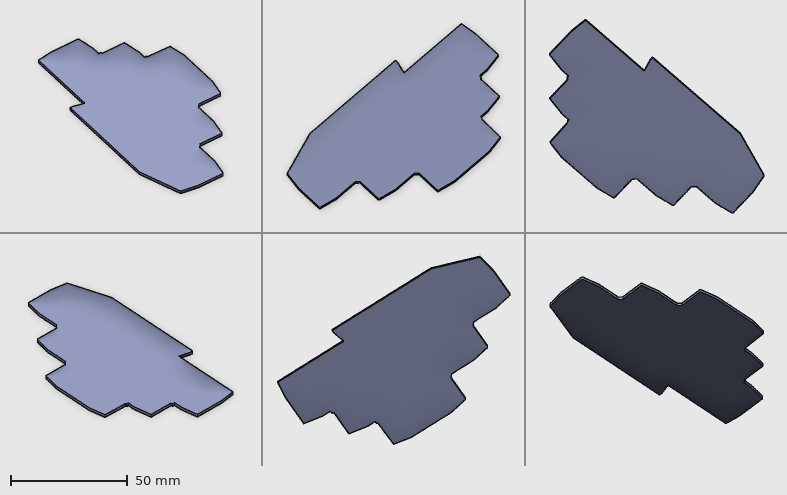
import cadquery as cq

length = 106.2
width = 59.4
thickness = 1.5

tier_pitch = 14.5
low_top = width - 2 * tier_pitch
mid_top = width - tier_pitch
shoulder_drop = 1.6
shoulder_run = 8.5
top_left_run = 8.0
mid_left = 13.5
mid_right = 85.1
top_left = 26.9
top_right = 64.0
corner_radius = 0.5

relief_height = 1.4
right_relief_run = 1.5
low_ledge_width = 0.8
low_ledge_height = 1.1
top_wall_lean = 0.3
top_ledge_width = 0.5
top_ledge_height = 0.8

foot_level = 6.8
left_taper = 1.1
left_taper_start = 14.4
right_taper = 1.4
right_taper_start = 15.6
right_taper_end = 7.1
tongue_root = 34.9
tongue_left = 33.7
tongue_lip_height = 1.5
tongue_neck = 6.2
ramp_start = 84.5

low_relief = low_top + relief_height
mid_relief = mid_top + relief_height
top_wall_foot = top_left - top_wall_lean

left_side = [
    (tongue_left, 0),
    (tongue_left, tongue_lip_height),
    (tongue_root, tongue_neck),
    (tongue_root, foot_level),
    (left_taper, foot_level),
    (0, left_taper_start),
    (0, low_top - shoulder_drop),
    (shoulder_run, low_top),
    (mid_left - low_ledge_width, low_top),
    (mid_left - low_ledge_width, low_top + low_ledge_height),
    (mid_left, low_relief),
    (mid_left, mid_top - shoulder_drop),
    (mid_left + shoulder_run, mid_top),
    (top_wall_foot - top_ledge_width, mid_top),
    (top_wall_foot - top_ledge_width, mid_top + top_ledge_height),
    (top_wall_foot, mid_relief),
    (top_left, width - shoulder_drop),
    (top_left + top_left_run, width),
]

right_side = [
    (top_right - shoulder_run, width),
    (top_right, width - shoulder_drop),
    (top_right, mid_relief),
    (top_right + right_relief_run, mid_top),
    (mid_right - shoulder_run, mid_top),
    (mid_right, mid_top - shoulder_drop),
    (mid_right, low_relief),
    (mid_right + right_relief_run, low_top),
    (length - shoulder_run, low_top),
    (length, low_top - shoulder_drop),
    (length, right_taper_start),
    (length - right_taper, right_taper_end),
    (ramp_start, 0),
]

plate = cq.Workplane("XY").polyline(left_side + right_side).close().extrude(thickness)

right_shoulders = [
    (top_right, width - shoulder_drop),
    (mid_right, mid_top - shoulder_drop),
    (length, low_top - shoulder_drop),
]
for x, y in right_shoulders:
    corner = cq.selectors.NearestToPointSelector((x, y, thickness / 2))
    plate = plate.edges("|Z").edges(corner).fillet(corner_radius)

result = plate